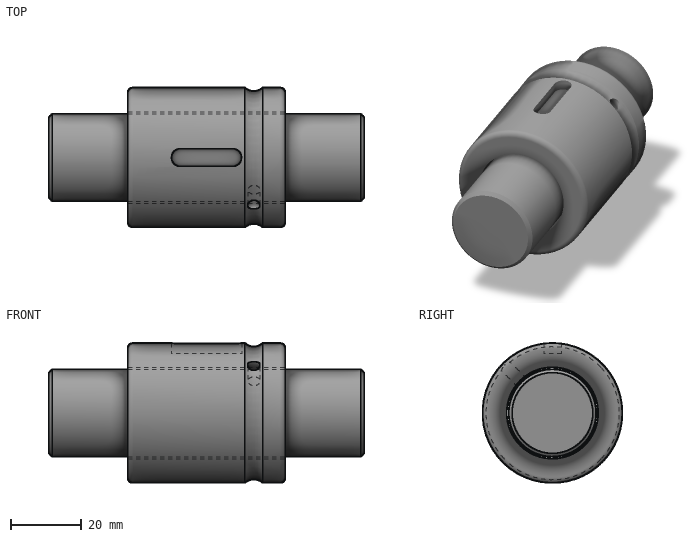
import cadquery as cq
import math

shaft_length = 90.0
shaft_diameter = 25.0
shaft_chamfer = 1.0

sleeve_length = 45.0
sleeve_diameter = 40.0
sleeve_radius = sleeve_diameter / 2
bore_diameter = 26.0
sleeve_edge_radius = 1.5

keyway_length = 20.0
keyway_width = 5.0
keyway_depth = 3.0

groove_x = 13.5
groove_width = 5.0
groove_depth = 1.0

oil_hole_diameter = 3.5
oil_hole_angle = 45.0


def x_cylinder(diameter, length):
    """Cylinder along X, centred on the origin."""
    return cq.Workplane("YZ").workplane(offset=-length / 2).circle(diameter / 2).extrude(length)


def make_shaft():
    return x_cylinder(shaft_diameter, shaft_length).faces("<X or >X").edges().chamfer(shaft_chamfer)


def groove_cutter():
    """Ring whose section is the circular segment of the groove, closed outside the sleeve."""
    half_width = groove_width / 2
    return (
        cq.Workplane("XY")
        .moveTo(groove_x - half_width, sleeve_radius)
        .threePointArc(
            (groove_x, sleeve_radius - groove_depth),
            (groove_x + half_width, sleeve_radius),
        )
        .lineTo(groove_x + half_width, sleeve_radius + groove_depth)
        .lineTo(groove_x - half_width, sleeve_radius + groove_depth)
        .close()
        .revolve(360, (0, 0, 0), (1, 0, 0))
    )


def keyway_cutter():
    return (
        cq.Workplane("XY")
        .workplane(offset=sleeve_radius - keyway_depth)
        .slot2D(keyway_length, keyway_width)
        .extrude(2 * keyway_depth)
    )


def oil_hole_cutter():
    """Radial hole starting on the sleeve axis, so it opens into the bore."""
    angle = math.radians(oil_hole_angle)
    direction = cq.Vector(0, -math.sin(angle), math.cos(angle))
    start = cq.Vector(groove_x, 0, 0)
    return cq.Solid.makeCylinder(oil_hole_diameter / 2, sleeve_radius, start, direction)


def make_sleeve():
    body = x_cylinder(sleeve_diameter, sleeve_length).faces("<X or >X").edges().fillet(sleeve_edge_radius)
    body = body.cut(x_cylinder(bore_diameter, sleeve_length))
    body = body.cut(groove_cutter())
    body = body.cut(keyway_cutter())
    return body.cut(cq.Workplane(oil_hole_cutter()))


shaft = make_shaft()
sleeve = make_sleeve()

result = cq.Compound.makeCompound([shaft.val(), *sleeve.solids().vals()])